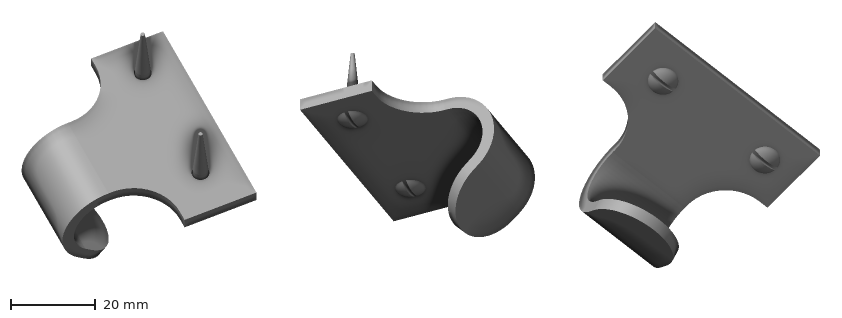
import cadquery as cq
import math

plate_width = 51.8
plate_depth = 18.7
thickness = 3.0
tongue_width = 22.65
corner_radius = 12.0
neck_straight = 0.95

bend_radius = 12.0
bend_angle = 138.0
tongue_length = 13.25

screw_spacing = 32.0
screw_from_back = 9.5
screw_offset = -0.95
hole_diameter = 4.2
shank_diameter = 3.7
shank_height = 1.55
spike_height = 15.65
tip_diameter = 1.0
head_diameter = 7.2
dome_height = 1.25
slot_width = 1.0

half_width = plate_width / 2
half_tongue = tongue_width / 2
head_radius = head_diameter / 2
shank_radius = shank_diameter / 2
hole_radius = hole_diameter / 2
neck_y = -plate_depth - corner_radius
bend_y = neck_y - neck_straight
screw_y = -screw_from_back
screw_positions = [(screw_offset + side * screw_spacing / 2, screw_y) for side in (-1, 1)]


def make_flat_plate():
    """T-shaped plate with concave round corners leading into the neck."""
    corner_x = half_tongue + corner_radius
    arc_offset = corner_radius * math.sqrt(0.5)
    arc_x = corner_x - arc_offset
    arc_y = neck_y + arc_offset
    return (
        cq.Workplane("XY")
        .moveTo(-half_width, 0)
        .lineTo(half_width, 0)
        .lineTo(half_width, -plate_depth)
        .lineTo(corner_x, -plate_depth)
        .threePointArc((arc_x, arc_y), (half_tongue, neck_y))
        .lineTo(half_tongue, bend_y)
        .lineTo(-half_tongue, bend_y)
        .lineTo(-half_tongue, neck_y)
        .threePointArc((-arc_x, arc_y), (-corner_x, -plate_depth))
        .lineTo(-half_width, -plate_depth)
        .close()
        .extrude(-thickness)
    )


def bend_point(radius, angle):
    """(Y, Z) on the bend, with the angle in degrees from the top of the bend."""
    turn = math.radians(angle)
    return bend_y - radius * math.sin(turn), -bend_radius + radius * math.cos(turn)


def make_bend():
    """Curved strip from the neck round to the sloping tongue."""
    inner_radius = bend_radius - thickness
    return (
        cq.Workplane("YZ")
        .moveTo(bend_y, 0)
        .threePointArc(bend_point(bend_radius, bend_angle / 2), bend_point(bend_radius, bend_angle))
        .lineTo(*bend_point(inner_radius, bend_angle))
        .threePointArc(bend_point(inner_radius, bend_angle / 2), (bend_y, -thickness))
        .close()
        .extrude(half_tongue, both=True)
    )


def make_tongue():
    """Straight sloping strip with a semicircular end."""
    turn = math.radians(bend_angle)
    outward = (0, -math.sin(turn), math.cos(turn))
    start_y, start_z = bend_point(bend_radius, bend_angle)
    outer_face = cq.Plane(origin=(0, start_y, start_z), xDir=(-1, 0, 0), normal=outward)
    straight = tongue_length - half_tongue
    return (
        cq.Workplane(outer_face)
        .moveTo(-half_tongue, 0)
        .lineTo(-half_tongue, straight)
        .threePointArc((0, tongue_length), (half_tongue, straight))
        .lineTo(half_tongue, 0)
        .close()
        .extrude(-thickness)
    )


def make_screw_hole():
    """Clearance hole with a 90 degree countersink opening at the underside."""
    countersink_depth = head_radius - hole_radius
    return (
        cq.Workplane("XZ")
        .moveTo(0, -thickness)
        .lineTo(head_radius, -thickness)
        .lineTo(hole_radius, -thickness + countersink_depth)
        .lineTo(hole_radius, 0)
        .lineTo(0, 0)
        .close()
        .revolve(360, (0, 0), (0, 1))
    )


def make_hook():
    hook = make_flat_plate().union(make_bend()).union(make_tongue())
    for x, y in screw_positions:
        hook = hook.cut(make_screw_hole().translate((x, y, 0)))
    return hook


def make_screw():
    """Pointed screw with a raised countersunk head and a slot along X."""
    head_cone_height = head_radius - shank_radius
    dome_bottom = -thickness - dome_height
    dome_radius = (head_radius**2 + dome_height**2) / (2 * dome_height)
    mid_x = head_radius / 2
    mid_z = dome_bottom + dome_radius - math.sqrt(dome_radius**2 - mid_x**2)
    screw = (
        cq.Workplane("XZ")
        .moveTo(0, dome_bottom)
        .threePointArc((mid_x, mid_z), (head_radius, -thickness))
        .lineTo(shank_radius, -thickness + head_cone_height)
        .lineTo(shank_radius, shank_height)
        .lineTo(tip_diameter / 2, spike_height)
        .lineTo(0, spike_height)
        .close()
        .revolve(360, (0, 0), (0, 1))
    )
    slot = (
        cq.Workplane("XY", origin=(0, 0, dome_bottom))
        .rect(head_diameter, slot_width)
        .extrude(dome_height)
    )
    return screw.cut(slot)


hook = make_hook()
screws = [make_screw().translate((x, y, 0)) for x, y in screw_positions]

result = cq.Compound.makeCompound([hook.val(), *[screw.val() for screw in screws]])